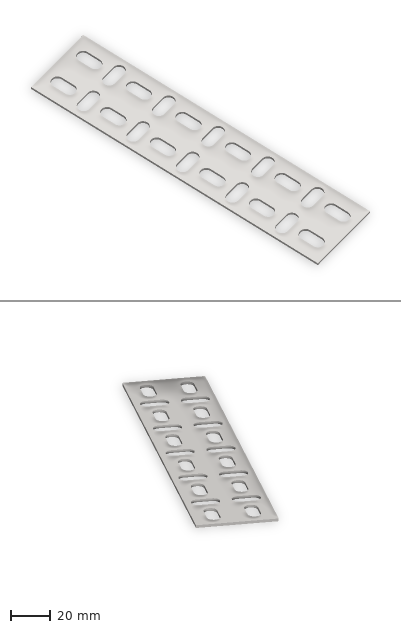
import cadquery as cq

length = 185.0
width = 43.0
thickness = 1.5

slot_length = 15.0
slot_width = 7.0
slot_pitch = 32.0
row_spacing = 21.0
lengthwise_count = 6
crosswise_count = lengthwise_count - 1
row_count = 2


def cut_slots(body, count, angle):
    """Cut a centred grid of through slots, each turned by angle from X."""
    return (
        body.faces(">Z")
        .workplane(origin=(0, 0, 0))
        .rarray(slot_pitch, row_spacing, count, row_count)
        .slot2D(slot_length, slot_width, angle)
        .cutThruAll()
    )


plate = cq.Workplane("XY").box(length, width, thickness)
plate = cut_slots(plate, lengthwise_count, 0)
result = cut_slots(plate, crosswise_count, 90)